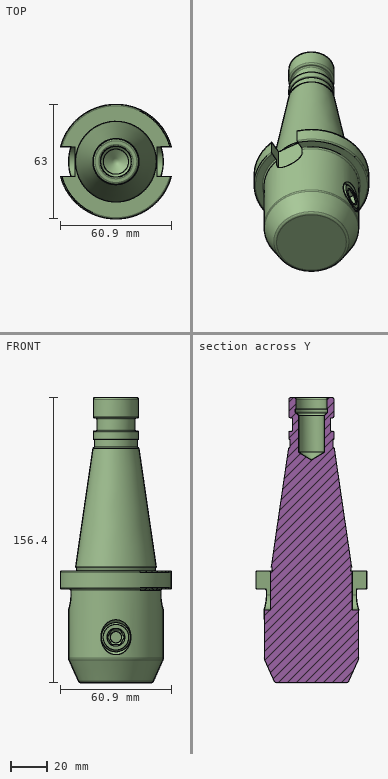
import cadquery as cq
import math


gauge_diameter = 44.45
taper_rate = 7 / 24
taper_length = 65.4
taper_lead_in = 0.9

gauge_land = 0.4
relief_radius = 21.7
relief_round = 0.35

shank_top = 93.4
pilot_radius = 11.9
pilot_top = 70.3
ring_radius = 12.45
ring_top = 75.0
ring_lower_round = 0.4
ring_upper_round = 0.6
neck_radius = 10.5
neck_top = 82.1
neck_round = 0.6
collar_radius = 12.45
collar_round = 1.0

flange_radius = 31.5
flange_top = -1.6
flange_thickness = 10.0
flange_round = 0.8
notch_width = 16.1
notch_flat = 22.5
notch_bottom = -23.0

body_radius = 26.0
body_round = 0.8
body_bottom = -63.0
nose_cone_height = 13.0
nose_cone_angle = 24.2
nose_round = 1.6
shoulder_round = 2.5

counterbore_radius = 8.4
counterbore_depth = 8.4
mouth_round = 1.0
hole_relief_depth = 0.4
hole_relief_height = 2.2
thread_radius = 6.9
thread_depth = 30.0
drill_tip_angle = 118.0

screw_height = -38.0
screw_radius = 8.0
screw_face = 25.6
screw_chamfer = 1.0
sink_mouth_radius = 9.6
socket_flats = 8.0
socket_depth = 8.0
socket_mouth_radius = 4.9
socket_floor_radius = 3.1
socket_cone_slope = 0.5


def taper_radius(height):
    """Radius of the steep taper at a height above the gauge plane."""
    return (gauge_diameter - taper_rate * height) / 2


def tangent_point(corner, neighbor, distance):
    """Point on the line from a corner to its neighbor, at a distance from the corner."""
    length = math.dist(corner, neighbor)
    return (
        corner[0] + (neighbor[0] - corner[0]) * distance / length,
        corner[1] + (neighbor[1] - corner[1]) * distance / length,
    )


def rounded_corner(before, corner, after, radius):
    """Start, middle and end of the arc that rounds a corner."""
    angle_before = math.atan2(before[1] - corner[1], before[0] - corner[0])
    angle_after = math.atan2(after[1] - corner[1], after[0] - corner[0])
    half_angle = math.acos(math.cos(angle_after - angle_before)) / 2
    start = tangent_point(corner, before, radius / math.tan(half_angle))
    end = tangent_point(corner, after, radius / math.tan(half_angle))
    chord_middle = ((start[0] + end[0]) / 2, (start[1] + end[1]) / 2)
    middle = tangent_point(corner, chord_middle, radius / math.sin(half_angle) - radius)
    return start, middle, end


def revolve_profile(points, plane="XZ"):
    """Solid of revolution about the plane's vertical axis.

    Each point is (radius, height), or (radius, height, rounding) where the corner is rounded.
    """
    outline = cq.Workplane(plane).moveTo(*points[0][:2])
    for before, corner, after in zip(points, points[1:], points[2:] + points[:1]):
        if len(corner) == 2:
            outline = outline.lineTo(*corner)
        else:
            start, middle, end = rounded_corner(before[:2], corner[:2], after[:2], corner[2])
            outline = outline.lineTo(*start).threePointArc(middle, end)
    return outline.close().revolve(360, (0, 0), (0, 1))


def make_shank():
    return revolve_profile([
        (0, flange_top),
        (relief_radius, flange_top, relief_round),
        (relief_radius, gauge_land, relief_round),
        (taper_radius(gauge_land), gauge_land),
        (taper_radius(taper_length), taper_length),
        (pilot_radius, taper_length + taper_lead_in),
        (pilot_radius, pilot_top),
        (ring_radius, pilot_top, ring_lower_round),
        (ring_radius, ring_top, ring_upper_round),
        (neck_radius, ring_top, neck_round),
        (neck_radius, neck_top, neck_round),
        (collar_radius, neck_top, collar_round),
        (collar_radius, shank_top, collar_round),
        (0, shank_top),
    ])


def make_body():
    flange_bottom = flange_top - flange_thickness
    cone_top = body_bottom + nose_cone_height
    nose_radius = body_radius - nose_cone_height * math.tan(math.radians(nose_cone_angle))
    return revolve_profile([
        (0, body_bottom),
        (nose_radius, body_bottom, nose_round),
        (body_radius, cone_top, shoulder_round),
        (body_radius, flange_bottom, body_round),
        (flange_radius, flange_bottom, flange_round),
        (flange_radius, flange_top, flange_round),
        (0, flange_top),
    ])


def make_notch(side):
    """Drive notch with a round lower end; side is +1 or -1 along X."""
    half_width = notch_width / 2
    arc_height = notch_bottom + half_width
    return (
        cq.Workplane("YZ", origin=(side * notch_flat, 0, 0))
        .moveTo(-half_width, flange_top)
        .lineTo(-half_width, arc_height)
        .threePointArc((0, notch_bottom), (half_width, arc_height))
        .lineTo(half_width, flange_top)
        .close()
        .extrude(side * flange_radius)
    )


def make_drawbar_hole():
    relief_wall = counterbore_radius + hole_relief_depth
    relief_bottom = shank_top - counterbore_depth
    relief_top = relief_bottom + hole_relief_height
    seat_height = counterbore_radius - thread_radius
    thread_floor = shank_top - thread_depth
    tip_height = thread_radius / math.tan(math.radians(drill_tip_angle / 2))
    mouth_flare = (
        cq.Workplane("XZ")
        .moveTo(0, shank_top)
        .lineTo(counterbore_radius + mouth_round, shank_top)
        .radiusArc((counterbore_radius, shank_top - mouth_round), -mouth_round)
        .lineTo(0, shank_top - mouth_round)
        .close()
        .revolve(360, (0, 0), (0, 1))
    )
    hole = revolve_profile([
        (0, shank_top),
        (counterbore_radius, shank_top),
        (counterbore_radius, relief_top),
        (relief_wall, relief_top, relief_round),
        (relief_wall, relief_bottom, relief_round),
        (counterbore_radius, relief_bottom),
        (thread_radius, relief_bottom - seat_height),
        (thread_radius, thread_floor),
        (0, thread_floor - tip_height),
    ])
    return hole.union(mouth_flare)


def make_screw_seat():
    """Countersunk recess in the body around the screw."""
    sink_depth = sink_mouth_radius - screw_radius
    return revolve_profile([
        (0, -body_radius),
        (sink_mouth_radius, -body_radius),
        (screw_radius, sink_depth - body_radius),
        (0, sink_depth - body_radius),
    ], plane="XY").translate((0, 0, screw_height))


def make_screw():
    """Chamfered set screw, joined to the body below its seat."""
    return revolve_profile([
        (0, -screw_face),
        (screw_radius - screw_chamfer, -screw_face),
        (screw_radius, screw_chamfer - screw_face),
        (screw_radius, 0),
        (0, 0),
    ], plane="XY").translate((0, 0, screw_height))


def make_socket():
    """Hex socket with a countersunk mouth and a conical step down to its flat floor."""
    corner_radius = socket_flats / 2 / math.cos(math.pi / 6)
    floor = socket_depth - screw_face
    envelope = revolve_profile([
        (0, -screw_face),
        (corner_radius, -screw_face),
        (corner_radius, floor - (corner_radius - socket_floor_radius) * socket_cone_slope),
        (socket_floor_radius, floor),
        (0, floor),
    ], plane="XY")
    hexagon = (
        cq.Workplane("XZ", origin=(0, -screw_face, 0))
        .polygon(6, 2 * corner_radius)
        .extrude(-socket_depth)
        .intersect(envelope)
    )
    mouth = revolve_profile([
        (0, -screw_face),
        (socket_mouth_radius, -screw_face),
        (0, socket_mouth_radius * socket_cone_slope - screw_face),
    ], plane="XY")
    return hexagon.union(mouth).translate((0, 0, screw_height))


result = make_shank().union(make_body())
for side in (-1, 1):
    result = result.cut(make_notch(side))
result = result.cut(make_drawbar_hole())
result = result.cut(make_screw_seat()).union(make_screw()).cut(make_socket())